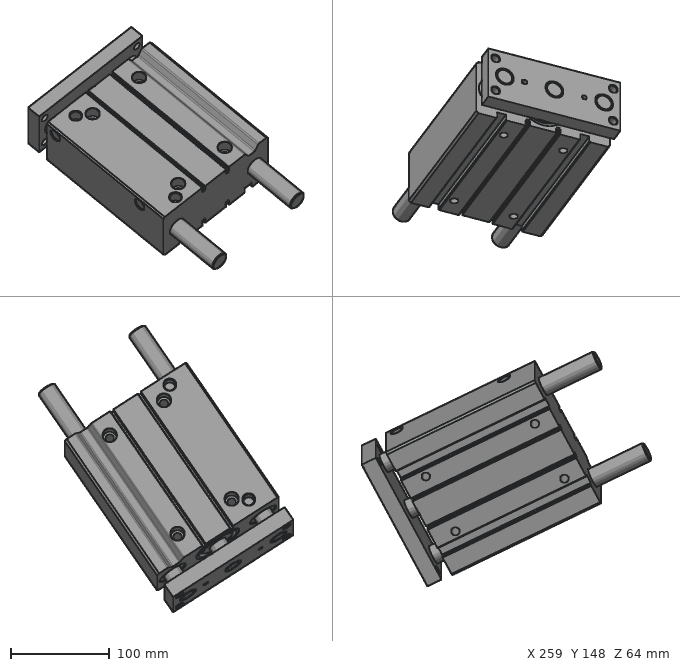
import cadquery as cq

DOWN = (0, 0, -1)
BACKWARD = (0, 1, 0)
INWARD = (1, 0, 0)

overall_length = 259.0
plate_length = 16.0
housing_start = 28.0
housing_length = 168.9
housing_end = housing_start + housing_length
housing_width = 148.0
housing_height = 64.0
half_width = housing_width / 2
half_height = housing_height / 2

top_back_chamfer = 2.5
top_front_chamfer = 1.8
bottom_chamfer = 2.3
center_drop = 1.0
strip_z = half_height - center_drop
center_strip_half_width = 18.6
slot_inner_y = 15.0
slot_outer_y = 18.5
slot_center_y = (slot_inner_y + slot_outer_y) / 2
slot_lip = 2.0
slot_wide_width = 5.2
slot_wide_depth = 4.7
slot_depth = 7.0
rail_groove_depth = 7.5
rail_groove_back_crest_y = 60.3
rail_groove_back_floor_y = 55.5
rail_groove_back_round = 1.95
rail_groove_front_floor_y = 46.4
rail_groove_front_crest_y = 41.5
rail_groove_front_round = 1.0
base_groove_inner_y = 41.2
base_groove_outer_y = 51.0
base_groove_depth = 7.0
base_groove_chamfer = 1.0

mount_x = (52.3, 176.0)
mount_y = 33.0
mount_hole_diameter = 8.5
mount_counterbore_diameter = 14.0
mount_mouth_diameter = 14.8
mount_counterbore_depth = 13.0
top_port_x = (42.2, 186.5)
top_port_y = -47.0
top_port_depth = 13.0
top_port_diameter = 13.2
top_port_core_diameter = 11.5
side_port_x = (40.1, 162.1)
side_port_z = 21.5
side_port_diameter = 14.0
side_port_core_diameter = 12.2
side_port_depth = (side_port_diameter - side_port_core_diameter) / 2

guide_recess_diameter = 32.0
guide_recess_depth = 1.3
cover_rim_diameter = 52.0
cover_rim_depth = 0.3
cover_recess_diameter = 46.0
cover_recess_depth = 4.1
seal_diameter = 37.8
seal_height = 3.5
seal_chamfer = 1.0

plate_width = 146.0
plate_height = 60.0
rod_diameter = 20.0
rod_chamfer = 1.0
seat_ring_depth = 1.0
seat_root_diameter = 18.0
seat_inner_diameter = 16.0
guide_rod_y = 55.0
piston_rod_insertion = 31.0
plate_screw_y = 65.0
plate_screw_z = 20.0
plate_screw_diameter = 9.8
plate_screw_core_diameter = 8.3
locating_hole_diameter = 5.0
locating_hole_y = 33.2
locating_slot_length = 6.0
locating_point_depth = 1.5
locating_depth = 6.0


def cylinder_x(start, length, diameter, y=0.0, z=0.0):
    """A cylinder along +X whose first end is centred on (start, y, z)."""
    return cq.Workplane("YZ", origin=(start, y, z)).circle(diameter / 2).extrude(length)


def blind_hole(point, direction, depth, diameter, core_diameter):
    """A flat-bottomed cutter with a 45 degree countersink from diameter to core_diameter."""
    countersink = (diameter - core_diameter) / 2
    start = cq.Vector(*point)
    axis = cq.Vector(*direction)
    core = cq.Solid.makeCylinder(core_diameter / 2, depth, start, axis)
    mouth = cq.Solid.makeCone(diameter / 2, core_diameter / 2, countersink, start, axis)
    return cq.Workplane(core.fuse(mouth))


def housing_blank():
    """The extruded block with chamfered long edges."""
    outline = [
        (half_width, half_height - top_back_chamfer),
        (half_width - top_back_chamfer, half_height),
        (-half_width + top_front_chamfer, half_height),
        (-half_width, half_height - top_front_chamfer),
        (-half_width, -half_height + bottom_chamfer),
        (-half_width + bottom_chamfer, -half_height),
        (half_width - bottom_chamfer, -half_height),
        (half_width, -half_height + bottom_chamfer),
    ]
    return cq.Workplane("YZ", origin=(housing_start, 0, 0)).polyline(outline).close().extrude(housing_length)


def groove(outline):
    """A cutter along the whole housing from a Y-Z outline."""
    return cq.Workplane("YZ", origin=(housing_start, 0, 0)).polyline(outline).close().extrude(housing_length)


def rail_groove():
    """The wide sloping-sided groove along the top, before its corners are rounded."""
    floor_z = half_height - rail_groove_depth
    return groove([
        (rail_groove_back_crest_y, half_height),
        (rail_groove_back_floor_y, floor_z),
        (rail_groove_front_floor_y, floor_z),
        (rail_groove_front_crest_y, half_height),
    ])


def round_groove_corners(body, floor_y, crest_y, radius):
    """Round the foot and the crest of one slope of the rail groove."""
    margin = 0.3
    slope = cq.selectors.BoxSelector(
        (housing_start - margin, min(floor_y, crest_y) - margin, half_height - rail_groove_depth - margin),
        (housing_end + margin, max(floor_y, crest_y) + margin, half_height + margin),
        boundingbox=True,
    )
    return body.edges("|X").edges(slope).fillet(radius)


def center_strip(side):
    """The lowered strip along the middle of the top (side 1) or bottom (side -1)."""
    return groove([
        (-center_strip_half_width, side * half_height),
        (center_strip_half_width, side * half_height),
        (center_strip_half_width, side * strip_z),
        (-center_strip_half_width, side * strip_z),
    ])


def sensor_slot(side, center_y):
    """A slot with a narrow mouth, a wider middle and a narrow foot."""
    narrow = (slot_outer_y - slot_inner_y) / 2
    wide = slot_wide_width / 2
    half_outline = [
        (narrow, strip_z),
        (narrow, strip_z - slot_lip),
        (wide, strip_z - slot_lip),
        (wide, strip_z - slot_wide_depth),
        (narrow, strip_z - slot_wide_depth),
        (narrow, strip_z - slot_depth),
    ]
    right = [(center_y + y, side * z) for y, z in half_outline]
    left = [(center_y - y, side * z) for y, z in reversed(half_outline)]
    return groove(right + left)


def base_groove(side):
    """A chamfered groove in the bottom, at +Y for side 1 and at -Y for side -1."""
    bottom = -half_height
    chamfer = base_groove_chamfer
    return groove([
        (side * (base_groove_inner_y - chamfer), bottom),
        (side * base_groove_inner_y, bottom + chamfer),
        (side * base_groove_inner_y, bottom + base_groove_depth),
        (side * base_groove_outer_y, bottom + base_groove_depth),
        (side * base_groove_outer_y, bottom + chamfer),
        (side * (base_groove_outer_y + chamfer), bottom),
    ])


def housing_profile():
    """The housing block with all its lengthwise grooves."""
    body = housing_blank().cut(rail_groove())
    body = round_groove_corners(
        body, rail_groove_back_floor_y, rail_groove_back_crest_y, rail_groove_back_round
    )
    body = round_groove_corners(
        body, rail_groove_front_floor_y, rail_groove_front_crest_y, rail_groove_front_round
    )
    for side in (1, -1):
        body = body.cut(center_strip(side)).cut(base_groove(side))
        for slot_y in (slot_center_y, -slot_center_y):
            body = body.cut(sensor_slot(side, slot_y))
    return body


def cut_mounting_holes(body):
    """Four counterbored through holes from the top."""
    for x in mount_x:
        for y in (mount_y, -mount_y):
            top = (x, y, half_height)
            through = cq.Workplane("XY", origin=top).circle(mount_hole_diameter / 2).extrude(-housing_height)
            counterbore = blind_hole(
                top, DOWN, mount_counterbore_depth, mount_mouth_diameter, mount_counterbore_diameter
            )
            body = body.cut(through).cut(counterbore)
    return body


def cut_ports(body):
    """Two open ports in the top and two shallow plugged ports in the front side."""
    for x in top_port_x:
        body = body.cut(blind_hole(
            (x, top_port_y, half_height), DOWN, top_port_depth, top_port_diameter, top_port_core_diameter
        ))
    for x in side_port_x:
        body = body.cut(blind_hole(
            (x, -half_width, side_port_z), BACKWARD, side_port_depth, side_port_diameter,
            side_port_core_diameter
        ))
    return body


def cut_rod_bores(body):
    """The recessed guide bores, and the blind piston bore inside its raised seal."""
    for y in (guide_rod_y, -guide_rod_y):
        body = body.cut(cylinder_x(housing_start, guide_recess_depth, guide_recess_diameter, y))
        body = body.cut(cylinder_x(housing_start, housing_length, rod_diameter, y))
    body = body.cut(cylinder_x(housing_start, cover_rim_depth, cover_rim_diameter))
    body = body.cut(cylinder_x(housing_start, cover_recess_depth, cover_recess_diameter))
    seal_start = housing_start + cover_recess_depth - seal_height
    seal = cylinder_x(seal_start, seal_height, seal_diameter).faces("<X").chamfer(seal_chamfer)
    return body.union(seal).cut(cylinder_x(housing_start, piston_rod_insertion, rod_diameter))


def make_housing():
    return cut_rod_bores(cut_ports(cut_mounting_holes(housing_profile())))


def seat_ring(y):
    """A V-shaped ring groove around the end of a rod in the plate's outer face."""
    outline = [(0, rod_diameter / 2), (seat_ring_depth, seat_root_diameter / 2), (0, seat_inner_diameter / 2)]
    ring = cq.Workplane("XY").polyline(outline).close().revolve(360, (0, 0, 0), (1, 0, 0))
    return ring.translate((0, y, 0))


def add_rods(body):
    """Two long guide rods and the shorter piston rod, fixed in the plate."""
    rod_ends = (
        (guide_rod_y, overall_length),
        (0, housing_start + piston_rod_insertion),
        (-guide_rod_y, overall_length),
    )
    for y, end in rod_ends:
        rod = cylinder_x(0, end, rod_diameter, y)
        if end == overall_length:
            rod = rod.faces(">X").chamfer(rod_chamfer)
        body = body.union(rod).cut(seat_ring(y))
    return body


def cut_screw_holes(body):
    """Four countersunk through holes in the corners of the plate."""
    for y in (plate_screw_y, -plate_screw_y):
        for z in (plate_screw_z, -plate_screw_z):
            body = body.cut(blind_hole(
                (0, y, z), INWARD, plate_length, plate_screw_diameter, plate_screw_core_diameter
            ))
    return body


def cut_locating_holes(body):
    """A round locating hole, and a locating slot with a conical drill point in its floor."""
    hole = cylinder_x(0, locating_depth, locating_hole_diameter, -locating_hole_y)
    slot = (
        cq.Workplane("YZ", origin=(0, locating_hole_y, 0))
        .slot2D(locating_slot_length, locating_hole_diameter)
        .extrude(locating_depth)
    )
    point_base = cq.Vector(locating_depth, locating_hole_y, 0)
    point = cq.Solid.makeCone(
        locating_hole_diameter / 2, 0, locating_point_depth, point_base, cq.Vector(*INWARD)
    )
    return body.cut(hole).cut(slot).cut(cq.Workplane(point))


def make_carriage():
    """The front plate with its three rods."""
    plate = cq.Workplane("XY").box(plate_length, plate_width, plate_height, centered=(False, True, True))
    return cut_locating_holes(cut_screw_holes(add_rods(plate)))


housing = make_housing()
carriage = make_carriage()
result = cq.Compound.makeCompound([housing.val(), carriage.val()])